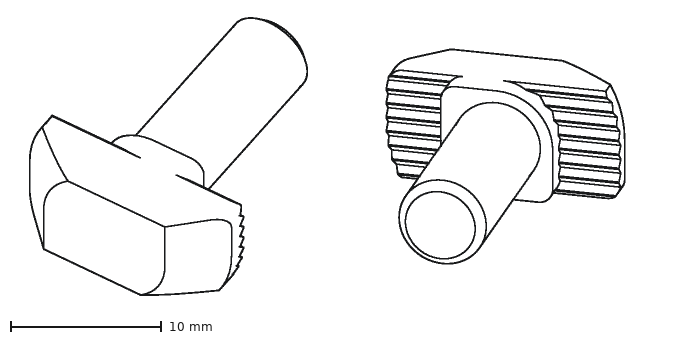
import cadquery as cq

total_length = 20.7
head_length = 16.0
head_width = 7.7
head_height = 4.7
face_length = 9.6
neck_top = 6.2
corner_radius = 1.0
shank_diameter = 6.0
tip_chamfer = 0.6
pitches_across_head = 7.7
tooth_depth = 0.45

half_length = head_length / 2
half_width = head_width / 2
half_face = face_length / 2
bevel_height = half_length - half_face
tooth_pitch = head_width / pitches_across_head
roots_per_half = int(pitches_across_head / 2) + 1


def half_head_profile():
    """Bevelled section of one half of the head, from the bolt axis outward."""
    return cq.Workplane("XY").polyline([
        (0, 0),
        (half_face, 0),
        (half_length, bevel_height),
        (half_length, head_height),
        (0, head_height),
    ]).close()


def rounded_upper_block(length, height):
    """Block filling the +X +Z quadrant, with its outer corner rounded."""
    block = cq.Workplane("XY").box(length, height, half_width, centered=False)
    return block.edges("|Y and >X and >Z").fillet(corner_radius)


def lower_block(length, height):
    """Plain block filling the +X -Z quadrant beside the bolt axis."""
    block = cq.Workplane("XY").box(length, height, half_width, centered=False)
    return block.translate((0, 0, -half_width))


def tooth_grooves():
    """V grooves along X whose roots sit one pitch apart, starting on the axis plane."""
    groove_section = [
        (head_height - tooth_depth, 0),
        (head_height, -tooth_depth),
        (head_height, tooth_depth),
    ]
    groove = cq.Workplane("YZ").polyline(groove_section).close().extrude(half_length)
    root_indices = range(-roots_per_half, roots_per_half + 1)
    return [groove.translate((0, 0, index * tooth_pitch)) for index in root_indices]


def half_head():
    """The +X half: straight-sided above Z = 0, turned about the bolt axis below."""
    straight = half_head_profile().extrude(half_width)
    straight = straight.intersect(rounded_upper_block(half_length, head_height))
    turned = half_head_profile().revolve(360, (0, 0, 0), (0, 1, 0))
    turned = turned.intersect(lower_block(half_length, head_height))
    head = straight.union(turned)
    for groove in tooth_grooves():
        head = head.cut(groove)
    return head


def half_neck():
    """The +X half of the neck: small corner above Z = 0, full quarter round below."""
    straight = rounded_upper_block(half_width, neck_top)
    turned = cq.Workplane("XZ").circle(half_width).extrude(-neck_top)
    turned = turned.intersect(lower_block(half_width, neck_top))
    return straight.union(turned)


def shank():
    rod = cq.Workplane("XZ").circle(shank_diameter / 2).extrude(-total_length)
    return rod.faces(">Y").chamfer(tip_chamfer)


half_body = half_head().union(half_neck())
opposite_half = half_body.rotate((0, 0, 0), (0, 1, 0), 180)
result = half_body.union(opposite_half).union(shank()).clean()